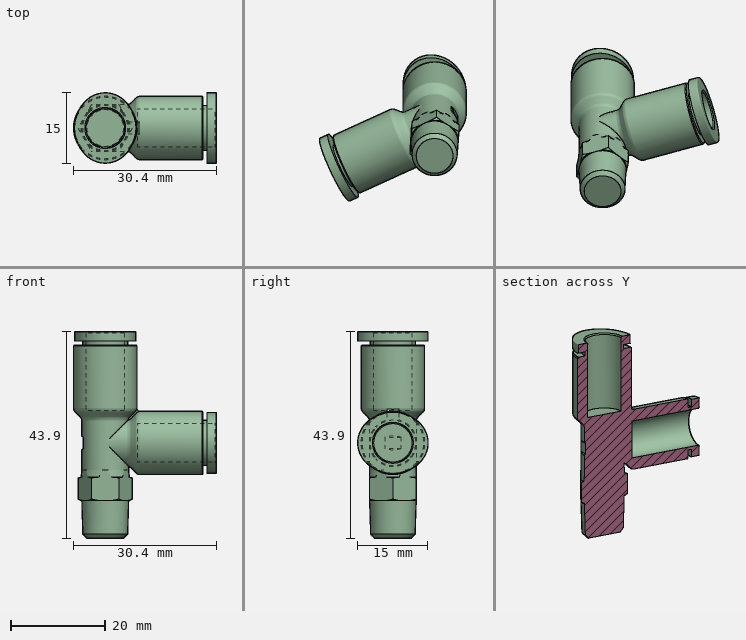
import cadquery as cq
import math

total_height = 43.9
branch_height = 20.3
arm_reach = total_height - branch_height
stem_radius = 5.0

socket_radius = 6.75
socket_start = 6.9
shoulder_length = 1.75
socket_end = 20.8
socket_rim_chamfer = 0.2
shoulder_fillet = 1.0
neck_radius = 4.85
neck_overlap = 0.45
collar_thickness = 2.0
collar_length = 15.0
collar_width = 13.0
collar_edge_fillet = 0.18
bore_radius = 4.1
bore_lead_in = 0.25
bore_depth = arm_reach - socket_start

hex_flats = 2 * stem_radius
hex_corners = hex_flats / math.cos(math.pi / 6)
hex_bottom = 8.05
hex_top = 13.0
hex_bottom_chamfer = 0.3
hex_top_chamfer = 0.18
hex_chamfer_radius = 5.2
flare_top = 14.5

thread_end_radius = 4.8
thread_chamfer = 0.88

recess_height = 2.35
recess_floor = 4.7

web_thickness = 2.55
web_setback = 13.87
web_overlap = 0.45


def turned(points):
    """Revolve a (radius, height) outline about the Z axis."""
    return cq.Workplane("XZ").polyline(points).close().revolve(360, (0, 0, 0), (0, 1, 0))


def socket_arm():
    """One socket along +Z, with the junction centre at the origin."""
    shoulder_start = socket_start - shoulder_length
    body = turned([
        (0, 0),
        (stem_radius, 0),
        (stem_radius, shoulder_start),
        (socket_radius, socket_start),
        (socket_radius, socket_end - socket_rim_chamfer),
        (socket_radius - socket_rim_chamfer, socket_end),
        (0, socket_end),
    ])
    margin = socket_rim_chamfer
    shoulder_zone = cq.selectors.BoxSelector(
        (-margin, -margin, shoulder_start - margin), (margin, margin, socket_start + margin)
    )
    body = body.edges("%CIRCLE").edges(shoulder_zone).fillet(shoulder_fillet)

    neck = cq.Workplane("XY").workplane(offset=socket_end - neck_overlap).circle(neck_radius)
    neck = neck.extrude(arm_reach - collar_thickness - socket_end + 2 * neck_overlap)
    collar = (
        cq.Workplane("XY")
        .workplane(offset=arm_reach - collar_thickness)
        .ellipse(collar_width / 2, collar_length / 2)
        .extrude(collar_thickness)
        .faces(">Z")
        .edges()
        .fillet(collar_edge_fillet)
    )
    return body.union(neck).union(collar)


def socket_bore():
    """Blind tube bore of a socket along +Z, with a conical lead-in."""
    return turned([
        (0, arm_reach - bore_depth),
        (bore_radius, arm_reach - bore_depth),
        (bore_radius, arm_reach - bore_lead_in),
        (bore_radius + bore_lead_in, arm_reach),
        (0, arm_reach),
    ])


def upright(shape):
    """Move a shape from the origin up to the junction centre."""
    return shape.translate((0, 0, branch_height))


def sideways(shape):
    """Turn a socket shape to +X and move it to the branch height."""
    return upright(shape.rotate((0, 0, 0), (0, 1, 0), 90))


def hexagon():
    """Hexagon with coned ends and a flared top that its six flats cut into."""
    corner_radius = hex_corners / 2
    envelope = turned([
        (0, hex_bottom),
        (hex_chamfer_radius, hex_bottom),
        (corner_radius, hex_bottom + hex_bottom_chamfer),
        (corner_radius, hex_top - hex_top_chamfer),
        (hex_chamfer_radius, hex_top),
        (stem_radius, flare_top),
        (0, flare_top),
    ])
    prism = cq.Workplane("XY").workplane(offset=hex_bottom).polygon(6, hex_corners)
    return prism.extrude(flare_top - hex_bottom).intersect(envelope)


def stem():
    """Plain stem above the hexagon."""
    start = cq.Workplane("XY").workplane(offset=flare_top)
    return start.circle(stem_radius).extrude(branch_height - flare_top)


def thread():
    """Tapered thread envelope with a chamfered end."""
    return turned([
        (0, 0),
        (thread_end_radius - thread_chamfer, 0),
        (thread_end_radius, thread_chamfer),
        (stem_radius, hex_bottom),
        (0, hex_bottom),
    ])


def recess():
    """Flat-floored cut across the stem with end walls sloping at 45 degrees."""
    run_out = 2 * (stem_radius - recess_floor)
    inner = recess_height / 2
    outer = inner + run_out
    outline = [
        (-recess_floor, -inner),
        (-recess_floor, inner),
        (-recess_floor - run_out, outer),
        (-recess_floor - run_out, -outer),
    ]
    cut = cq.Workplane("XZ").polyline(outline).close().extrude(stem_radius, both=True)
    return upright(cut)


def web():
    """Thin web in the inside corner, closed by a sloping outer face."""
    near = socket_radius - web_overlap
    far = web_setback - near
    root = stem_radius - web_overlap
    outline = cq.Workplane("XZ").polyline([(root, root), (near, far), (far, near)]).close()
    return upright(outline.extrude(web_thickness / 2, both=True))


arm = socket_arm()
bore = socket_bore()
result = thread().union(hexagon()).union(stem())
result = result.union(upright(arm)).union(sideways(arm)).union(web())
result = result.cut(upright(bore)).cut(sideways(bore)).cut(recess())